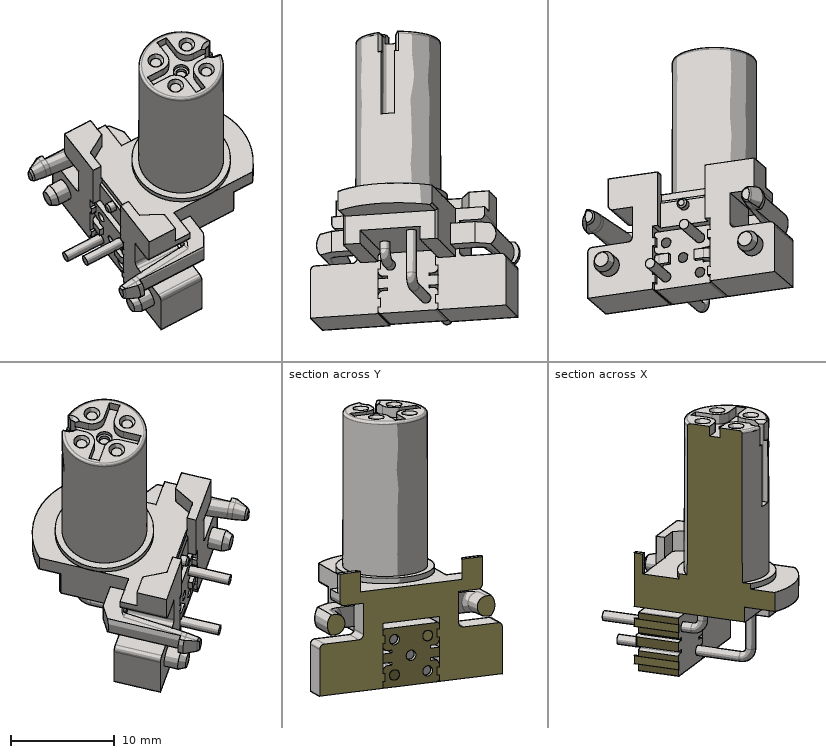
import cadquery as cq
import math


total_height = 26.0
front_y = -8.5
plate_back_y = -3.82
deck_z = 9.98
contact_offset = 1.77
grid_z = 3.0
pin_diameter = 1.0
opening_half_width = 3.0
opening_top_z = 6.5

foot_half_width = 9.75
foot_top_z = 5.2
neck_half_width = 5.1
shoulder_half_width = 7.62
shoulder_bottom_z = 8.75
plate_fillet = 0.5

wall_top_z = 12.0
wall_back_y = -5.5
wall_bevel_outer_x = 5.62
wall_bevel_inner_x = 4.4
wall_inner_y = -7.6

slot_half_width = 2.47
slot_top_y = -7.51
slot_face_y = -7.7
ledge_top_z = 9.3
ledge_bottom_z = 9.05

deck_half_width = 4.7
tongue_radius = 6.97
tongue_bottom_z = 8.0
block_back_y = 3.17
block_bottom_z = 5.2
block_chamfer = 0.2

flange_radius = 4.75
flange_top_z = 10.53
tower_base_radius = 4.1
tower_top_radius = 4.08
tower_fillet = 0.25

cross_half_width = 0.52
cross_arm_length = 3.5
cross_depth = 1.0
cross_fillet = 1.25
dimple_top_diameter = 1.5
dimple_floor_diameter = 1.05
dimple_depth = 0.4
key_radius = 0.68
key_center_y = 3.54
key_bottom_z = 17.75
key_chamfer = 0.35
key_bevel_start_y = 3.61
key_bevel_depth = 1.98

latch_z = 7.0
latch_half_height = 1.05
latch_outer_x = 8.95
latch_edge_bulge = 0.45
latch_back_y = -1.98
latch_corner_y = -3.07
latch_corner_x = 7.15
arm_root_x = 7.85
arm_tip_x = 8.48
arm_root_fillet = 0.45
barb_y = -10.17
barb_outer_x = 9.4
barb_taper_y = -10.65
barb_taper_center_x = 8.53
barb_rim_y = -11.85
barb_rim_x = 8.68
barb_rim_bulge = 0.18
barb_rim_center_x = 8.45
barb_rim_half_height = 0.8
barb_tip_y = -12.06
barb_tip_x = 8.55
barb_tip_bulge = 0.15
barb_tip_center_x = 8.37
barb_tip_half_height = 0.6

peg_x = 7.5
peg_diameter = 2.08
peg_length = 2.05
peg_chamfer_length = 0.68
peg_chamfer_width = 0.3
stub_z = 8.5
stub_chamfer = 0.18

organizer_front_y = -8.03
organizer_fillet = 0.23
rib_offset = 1.9
rib_height = 0.85
rib_depth = 0.25
notch_bottom_x = 2.08
notch_half_height = 0.73
notch_fillet = 0.5
hook_inner_x = 1.33
hook_half_height = 0.5
hook_front_y = -8.48
hook_radius = 0.68
open_hole_depth = 2.5

pin_tip_y = -12.12
pin_bend_radius = 1.01
pin_places = (
    (-contact_offset, contact_offset, grid_z - contact_offset),
    (contact_offset, -contact_offset, grid_z + contact_offset),
)


def box(x_range, y_range, z_range):
    """Box between pairs of coordinates."""
    size = [high - low for low, high in (x_range, y_range, z_range)]
    return cq.Workplane("XY").box(*size, centered=False).translate((x_range[0], y_range[0], z_range[0]))


def wide_box(half_width, y_range, z_range):
    """Box centred on X = 0."""
    return box((-half_width, half_width), y_range, z_range)


def both_sides(shape):
    """The shape together with its mirror image across X = 0."""
    return [shape, shape.mirror("YZ")]


def front_plate():
    half = (
        cq.Workplane("XZ", origin=(0, plate_back_y, 0))
        .polyline([
            (0, 0),
            (foot_half_width, 0),
            (foot_half_width, foot_top_z),
            (neck_half_width, foot_top_z),
            (neck_half_width, shoulder_bottom_z),
            (shoulder_half_width, shoulder_bottom_z),
            (shoulder_half_width, deck_z),
            (0, deck_z),
        ])
        .close()
        .extrude(plate_back_y - front_y)
    )
    rounded_corners = (
        (foot_half_width, foot_top_z),
        (neck_half_width, foot_top_z),
        (shoulder_half_width, shoulder_bottom_z),
    )
    for x, z in rounded_corners:
        corner = cq.selectors.NearestToPointSelector((x, (plate_back_y + front_y) / 2, z))
        half = half.edges("|Y").edges(corner).fillet(plate_fillet)
    return half.union(half.mirror("YZ"))


def raised_wall():
    """Raised wall on the +X side, thinner beside the slot."""
    return (
        cq.Workplane("XY", origin=(0, 0, deck_z))
        .polyline([
            (slot_half_width, front_y),
            (shoulder_half_width, front_y),
            (shoulder_half_width, wall_back_y),
            (wall_bevel_outer_x, wall_back_y),
            (wall_bevel_inner_x, wall_inner_y),
            (slot_half_width, wall_inner_y),
        ])
        .close()
        .extrude(wall_top_z - deck_z)
    )


def deck_and_block():
    disc = (
        cq.Workplane("XY", origin=(0, 0, tongue_bottom_z))
        .circle(tongue_radius)
        .extrude(deck_z - tongue_bottom_z)
    )
    tongue = disc.intersect(
        wide_box(deck_half_width, (plate_back_y, tongue_radius), (tongue_bottom_z, deck_z))
    ).faces("<Z").edges("|Y").chamfer(block_chamfer)
    block = wide_box(
        deck_half_width, (plate_back_y, block_back_y), (block_bottom_z, deck_z)
    ).edges("|Z and >Y").chamfer(block_chamfer)
    return tongue.union(block)


def tower():
    flange = (
        cq.Workplane("XY", origin=(0, 0, deck_z))
        .circle(flange_radius)
        .extrude(flange_top_z - deck_z)
    )
    barrel = cq.Workplane(cq.Solid.makeCone(
        tower_base_radius, tower_top_radius, total_height - deck_z,
        pnt=cq.Vector(0, 0, deck_z),
    )).faces(">Z").edges().fillet(tower_fillet)
    return flange.union(barrel)


def cross_recess():
    floor_z = total_height - cross_depth
    arm_width = 2 * cross_half_width
    arms = (
        cq.Workplane("XY", origin=(0, 0, floor_z))
        .rect(2 * cross_arm_length, arm_width)
        .extrude(cross_depth)
    )
    arms = arms.union(arms.rotate((0, 0, 0), (0, 0, 1), 90))
    inner_corners = cq.selectors.BoxSelector(
        (-arm_width, -arm_width, floor_z), (arm_width, arm_width, total_height)
    )
    return arms.edges("|Z").edges(inner_corners).fillet(cross_fillet)


def dimple(x, y):
    """Conical contact entry with a flat floor."""
    return cq.Workplane(cq.Solid.makeCone(
        dimple_floor_diameter / 2, dimple_top_diameter / 2, dimple_depth,
        pnt=cq.Vector(x, y, total_height - dimple_depth),
    ))


def center_entry():
    """Stepped round entry in the floor of the cross."""
    floor = cq.Workplane("XY", origin=(0, 0, total_height - cross_depth))
    wide = floor.circle(dimple_top_diameter / 2).extrude(-dimple_depth)
    narrow = floor.circle(dimple_floor_diameter / 2).extrude(-2 * dimple_depth)
    return wide.union(narrow)


def key_groove():
    """Round-bottomed groove down the +Y side of the tower, flared at its mouth."""
    groove = (
        cq.Workplane("XY", origin=(0, key_center_y, key_bottom_z))
        .circle(key_radius)
        .extrude(total_height - key_bottom_z)
    ).union(wide_box(key_radius, (key_center_y, flange_radius), (key_bottom_z, total_height)))
    mouth = cq.Workplane(cq.Solid.makeCone(
        key_radius, key_radius + key_chamfer, key_chamfer,
        pnt=cq.Vector(0, key_center_y, total_height - key_chamfer),
    ))
    spread = flange_radius - key_bevel_start_y
    bevel = (
        cq.Workplane("XY", origin=(0, 0, total_height - key_bevel_depth))
        .polyline([
            (-key_radius, key_bevel_start_y),
            (key_radius, key_bevel_start_y),
            (key_radius + spread, flange_radius),
            (-key_radius - spread, flange_radius),
        ])
        .close()
        .extrude(key_bevel_depth)
    )
    return groove.union(mouth).union(bevel)


def latch_section(y, outer_x, bulge, inner_center_x, half_height):
    """Wire across an arm: bowed outer side, flat top and bottom, round inner side."""
    edge_x = outer_x - bulge
    return (
        cq.Workplane("XZ", origin=(0, y, latch_z))
        .moveTo(inner_center_x, half_height)
        .lineTo(edge_x, half_height)
        .threePointArc((outer_x, 0), (edge_x, -half_height))
        .lineTo(inner_center_x, -half_height)
        .threePointArc((inner_center_x - half_height, 0), (inner_center_x, half_height))
        .wire().val()
    )


def latch():
    """Latch on the +X side: a shoulder beside the block, and an arm that ends in a barb."""
    edge_x = latch_outer_x - latch_edge_bulge
    shoulder = (
        cq.Workplane("XY", origin=(0, 0, latch_z - latch_half_height))
        .polyline([
            (deck_half_width - block_chamfer, latch_back_y),
            (latch_corner_x, latch_back_y),
            (latch_outer_x, latch_corner_y),
            (latch_outer_x, plate_back_y),
            (deck_half_width - block_chamfer, plate_back_y),
        ])
        .close()
        .extrude(2 * latch_half_height)
    )
    bowed_bar = (
        cq.Workplane("XZ", origin=(0, 0, latch_z))
        .moveTo(0, latch_half_height)
        .lineTo(edge_x, latch_half_height)
        .threePointArc((latch_outer_x, 0), (edge_x, -latch_half_height))
        .lineTo(0, -latch_half_height)
        .close()
        .extrude(-front_y)
    )
    root = latch_section(plate_back_y, latch_outer_x, latch_edge_bulge, arm_root_x, latch_half_height)
    neck = latch_section(barb_y, latch_outer_x, latch_edge_bulge, arm_tip_x, latch_half_height)
    arm = cq.Workplane(cq.Solid.makeLoft([root, neck], True))
    body = shoulder.intersect(bowed_bar).union(arm)
    inner_root = cq.selectors.NearestToPointSelector(
        (arm_root_x - latch_half_height, plate_back_y, latch_z)
    )
    body = body.edges(inner_root).fillet(arm_root_fillet)

    barb_sections = [
        latch_section(barb_y, barb_outer_x, latch_edge_bulge, arm_tip_x, latch_half_height),
        latch_section(barb_taper_y, barb_outer_x, latch_edge_bulge, barb_taper_center_x, latch_half_height),
        latch_section(
            barb_rim_y, barb_rim_x, barb_rim_bulge, barb_rim_center_x, barb_rim_half_height
        ),
        latch_section(
            barb_tip_y, barb_tip_x, barb_tip_bulge, barb_tip_center_x, barb_tip_half_height
        ),
    ]
    barb = cq.Workplane(cq.Solid.makeLoft(barb_sections, True))
    return body.union(barb)


def peg():
    """Locating peg on the +X side with a tapered tip."""
    return (
        cq.Workplane("XZ", origin=(peg_x, front_y, grid_z))
        .circle(peg_diameter / 2)
        .extrude(peg_length)
        .faces("<Y").chamfer(peg_chamfer_length, peg_chamfer_width)
    )


def center_stub():
    return (
        cq.Workplane("XZ", origin=(0, slot_face_y, stub_z))
        .circle(pin_diameter / 2)
        .extrude(slot_face_y - front_y)
        .faces("<Y").chamfer(stub_chamfer)
    )


def slot_cutter():
    """Slot between the raised walls; its back wall steps back above a sloping ledge."""
    return (
        cq.Workplane("YZ", origin=(-slot_half_width, 0, 0))
        .polyline([
            (front_y, opening_top_z),
            (slot_face_y, opening_top_z),
            (slot_face_y, ledge_bottom_z),
            (slot_top_y, ledge_top_z),
            (slot_top_y, deck_z),
            (front_y, deck_z),
        ])
        .close()
        .extrude(2 * slot_half_width)
    )


def organizer_ribs(outer_x):
    """Ribs of the housing that reach into the organizer, on both sides, out to |X| = outer_x."""
    ribs = []
    for z in (grid_z - rib_offset, grid_z + rib_offset):
        rib = box(
            (opening_half_width - rib_depth, outer_x),
            (front_y, plate_back_y),
            (z - rib_height / 2, z + rib_height / 2),
        )
        ribs += both_sides(rib)
    return ribs


def make_housing():
    body = front_plate().union(deck_and_block()).union(tower())
    for wall in both_sides(raised_wall()):
        body = body.union(wall)
    body = body.cut(wide_box(opening_half_width, (front_y, block_back_y), (0, opening_top_z)))
    body = body.cut(slot_cutter())
    body = body.cut(cross_recess()).cut(key_groove())
    body = body.cut(center_entry())
    for x in (-contact_offset, contact_offset):
        for y in (-contact_offset, contact_offset):
            body = body.cut(dimple(x, y))
    for feature in both_sides(latch()) + both_sides(peg()) + organizer_ribs(neck_half_width):
        body = body.union(feature)
    return body.union(center_stub())


def make_pin(x, y, z):
    """Bent pin: down from the housing at (x, y), then forward at height z."""
    diagonal = pin_bend_radius * (1 - math.sqrt(0.5))
    path = (
        cq.Workplane("YZ", origin=(x, 0, 0))
        .moveTo(y, opening_top_z)
        .lineTo(y, z + pin_bend_radius)
        .threePointArc((y - diagonal, z + diagonal), (y - pin_bend_radius, z))
        .lineTo(pin_tip_y, z)
    )
    return (
        cq.Workplane("XY", origin=(x, y, opening_top_z))
        .circle(pin_diameter / 2)
        .sweep(path)
    )


def organizer_hook():
    """Hook on the +X side: a square nose with a rounded outer corner."""
    outer_x = opening_half_width
    return box(
        (hook_inner_x, outer_x),
        (hook_front_y, plate_back_y),
        (grid_z - hook_half_height, grid_z + hook_half_height),
    ).edges("|Z and >X and <Y").fillet(hook_radius)


def make_organizer():
    body = wide_box(
        opening_half_width, (organizer_front_y, plate_back_y), (0, 2 * grid_z)
    ).edges("|Y").fillet(organizer_fillet)
    notch = box(
        (notch_bottom_x, opening_half_width),
        (organizer_front_y, plate_back_y),
        (grid_z - notch_half_height, grid_z + notch_half_height),
    )
    for side_notch in both_sides(notch):
        body = body.cut(side_notch)
    mouth_edges = cq.selectors.BoxSelector(
        (-foot_half_width, front_y, grid_z - rib_offset),
        (foot_half_width, 0, grid_z + rib_offset),
    )
    body = body.edges("|Y").edges(mouth_edges).edges("<X or >X").fillet(notch_fillet)
    for rib in organizer_ribs(opening_half_width):
        body = body.cut(rib)
    for hook in both_sides(organizer_hook()):
        body = body.union(hook)
    pin_holes = [(x, z) for x, y, z in pin_places]
    open_holes = [
        (0, grid_z),
        (-contact_offset, grid_z + contact_offset),
        (contact_offset, grid_z - contact_offset),
    ]
    body = body.cut(organizer_holes(pin_holes, plate_back_y - organizer_front_y))
    return body.cut(organizer_holes(open_holes, open_hole_depth))


def organizer_holes(places, depth):
    """Holes bored from the front face of the organizer."""
    return (
        cq.Workplane("XZ", origin=(0, organizer_front_y, 0))
        .pushPoints(places)
        .circle(pin_diameter / 2)
        .extrude(-depth)
    )


housing = make_housing()
organizer = make_organizer()
pins = [make_pin(*place) for place in pin_places]

result = cq.Compound.makeCompound([
    housing.val(),
    organizer.val(),
    *[pin.val() for pin in pins],
])